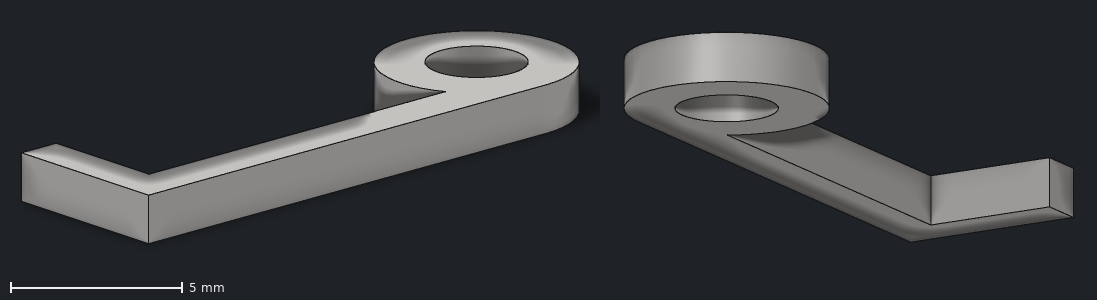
import cadquery as cq

total_length = 18.69
thickness = 1.5
ring_diameter = 6.0
hole_diameter = 3.0
arm_width = 1.5
foot_length = 5.51
foot_width = 1.38

ring_radius = ring_diameter / 2
outer_x = ring_radius
foot_end_y = ring_radius - total_length


def ring():
    return cq.Workplane("XY").circle(ring_radius).extrude(thickness)


def hooked_arm():
    """L-shaped arm running from the ring's centre line down to the foot."""
    inner_x = outer_x - arm_width
    foot_tip_x = outer_x - foot_length
    foot_top_y = foot_end_y + foot_width
    outline = [
        (outer_x, 0),
        (outer_x, foot_end_y),
        (foot_tip_x, foot_end_y),
        (foot_tip_x, foot_top_y),
        (inner_x, foot_top_y),
        (inner_x, 0),
    ]
    return cq.Workplane("XY").polyline(outline).close().extrude(thickness)


def through_hole():
    return cq.Workplane("XY").circle(hole_diameter / 2).extrude(thickness)


result = ring().union(hooked_arm()).cut(through_hole())